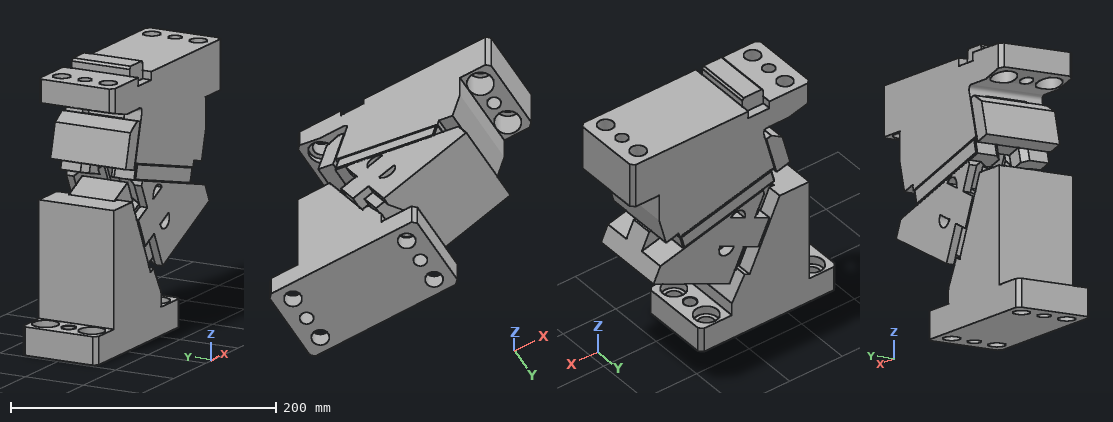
import cadquery as cq
import math

part_width = 65.0
half_width = part_width / 2
total_height = 217.5
corner_chamfer = 3.3

base_length = 130.0
flange_height = 22.5
column_left = 26.5
column_right = 100.3
column_top = 115.0
column_right_top = 33.7

incline_angle = math.radians(25)
incline_foot = (83.5, 53.5)
foot_ledge = 5.2
rail_half_width = 19.5
rail_bury = 6.5
rail_height = 19.0
rail_top_end = 69.8
wing_top_end = 51.5
wing_underside = 9.0
wing_half_width = 26.0
roof_start = 17.2
roof_angle = math.radians(31)
roof_flat_half_width = 5.2

cam_angle = math.radians(15)
cam_origin = (59.2, 131.0)
plate_length = 89.8
plate_height = 12.8
plate_edge_chamfer = 0.9
plate_mouth_chamfer = 5.0

shoe_clearance = 2.0
shoe_bottom = 23.7
shoe_top = 49.0
slide_bottom = -7.8
slide_depth = 97.2
tongue_half_width = 9.5
relief_depth = 3.3
guide_overrun = 65.2
tongue_start = 18.3
pocket_radius = 7.2
pocket_depth = 8.7
pocket_chord_offset = 0.9
pocket_level = 35.0
pocket_spacing = 24.8
upper_pocket_along = 48.3

holder_left = 25.0
holder_right = 195.0
holder_top = 209.9
nose_bottom = 191.2
nose_underside = 185.5
neck_offset = -2.6
neck_fillet = 3.3
step_offset = 90.3
step_height = 17.6
step_right = 102.7
shoulder_left = 169.5
shoulder_bottom = 169.9

hook_left = -17.0
hook_right = -3.5
hook_bottom = 7.6
hook_left_top = 35.7
hook_top = 44.8
hook_flat_start = -8.3
hook_key_width = 35.7
hook_key_depth = 9.8
hook_key_bottom = 17.5
hook_pocket_top = 49.0

key_left = 64.5
key_length = 20.0
key_width = 50.0
key_seat = 203.4
key_chamfer_width = 1.3
key_chamfer_drop = 2.2

bolt_radius = 6.7
bolt_offset = 20.0
bolt_rows = (-bolt_offset, bolt_offset)
counterbore_radius = 10.2
bolt_grip = 15.0
dowel_radius = 5.2
dowel_mouth_chamfer = 0.5
base_hole_inset = 15.0
holder_hole_inset = 15.2


def incline_point(level, along):
    """XZ point at a height above the inclined face and a distance up the slope from its foot."""
    x = incline_foot[0] + level * math.cos(incline_angle) - along * math.sin(incline_angle)
    z = incline_foot[1] + level * math.sin(incline_angle) + along * math.cos(incline_angle)
    return (x, z)


def cam_point(along, height):
    """XZ point at a distance down the cam plane and a height above it."""
    x = cam_origin[0] + along * math.cos(cam_angle) + height * math.sin(cam_angle)
    z = cam_origin[1] - along * math.sin(cam_angle) + height * math.cos(cam_angle)
    return (x, z)


def centred_slab(points, width):
    """XZ outline extruded evenly to both sides of the part's middle plane."""
    return cq.Workplane("XZ").polyline(points).close().extrude(width / 2, both=True)


def incline_prism(section, start, end):
    """Section of (Y, level) points swept up the inclined face between two distances."""
    x, z = incline_point(0, start)
    up_slope = (-math.sin(incline_angle), 0, math.cos(incline_angle))
    plane = cq.Plane(origin=(x, 0, z), xDir=(0, 1, 0), normal=up_slope)
    outline = [(y, -level) for y, level in section]
    return cq.Workplane(plane).polyline(outline).close().extrude(end - start)


def box_section(half_span, bottom, top):
    """Rectangular (Y, level) section centred on the part."""
    return [(-half_span, bottom), (half_span, bottom), (half_span, top), (-half_span, top)]


def drill(x, y_positions, radius, bottom, top):
    points = [(x, y) for y in y_positions]
    return cq.Workplane("XY", origin=(0, 0, bottom)).pushPoints(points).circle(radius).extrude(top - bottom)


roof_height = roof_start + (wing_half_width - roof_flat_half_width) * math.tan(roof_angle)


def guide_section(root_level):
    """T-shaped guide with a flat-topped roof, as (Y, level) points."""
    right_side = [
        (rail_half_width, root_level),
        (rail_half_width, wing_underside),
        (wing_half_width, wing_underside),
        (wing_half_width, roof_start),
        (roof_flat_half_width, roof_height),
    ]
    left_side = [(-y, level) for y, level in reversed(right_side)]
    return right_side + left_side


def dowel_mouth(x):
    """Small chamfer at the upper mouth of a base dowel hole."""
    bottom = cq.Vector(x, 0, flange_height - dowel_mouth_chamfer)
    mouth_radius = dowel_radius + dowel_mouth_chamfer
    return cq.Workplane(obj=cq.Solid.makeCone(dowel_radius, mouth_radius, dowel_mouth_chamfer, bottom))


def make_base():
    flange = cq.Workplane("XY").box(base_length, part_width, flange_height, centered=(False, True, False))
    flange = flange.edges("|Z").chamfer(corner_chamfer)

    slope_length = (column_top - incline_foot[1]) / math.cos(incline_angle)
    column = centred_slab([
        (column_left, 0),
        (column_left, column_top),
        incline_point(0, slope_length),
        incline_foot,
        incline_point(foot_ledge, 0),
        (column_right, column_right_top),
        (column_right, 0),
    ], part_width)

    rail_section = box_section(rail_half_width, -rail_bury, rail_height)
    lead_in = incline_prism(rail_section, wing_top_end, rail_top_end)
    guide = incline_prism(guide_section(-rail_bury), 0, wing_top_end)
    body = flange.union(column).union(guide).union(lead_in)

    for x in (base_hole_inset, base_length - base_hole_inset):
        body = body.cut(drill(x, bolt_rows, bolt_radius, 0, flange_height))
        body = body.cut(drill(x, bolt_rows, counterbore_radius, bolt_grip, flange_height))
        body = body.cut(drill(x, (0,), dowel_radius, 0, flange_height))
        body = body.cut(dowel_mouth(x))
    return body


def cam_along_at_back(height):
    """Distance down the cam plane at which the slide's inclined back face is reached."""
    dx = cam_origin[0] - incline_foot[0]
    dz = cam_origin[1] - incline_foot[1]
    origin_level = dx * math.cos(incline_angle) + dz * math.sin(incline_angle)
    height_gain = height * math.sin(incline_angle + cam_angle)
    return (slide_depth - origin_level - height_gain) / math.cos(incline_angle + cam_angle)


def slide_pocket(along, side):
    """Half-round blind pocket in the slide's flank; side is +1 above the chord, -1 below it."""
    x, z = incline_point(pocket_level, along)
    out_of_slope = (math.cos(incline_angle), 0, math.sin(incline_angle))
    plane = cq.Plane(origin=(x, -half_width, z), xDir=out_of_slope, normal=(0, -1, 0))
    half_chord = math.sqrt(pocket_radius**2 - pocket_chord_offset**2)
    sketch = cq.Workplane(plane).moveTo(-half_chord, pocket_chord_offset)
    sketch = sketch.threePointArc((0, side * pocket_radius), (half_chord, pocket_chord_offset)).close()
    return sketch.extrude(-pocket_depth)


def make_slide():
    front_x, front_z = incline_point(roof_start, rail_top_end)
    dx = front_x - cam_origin[0]
    dz = front_z - cam_origin[1]
    front_along = dx * math.cos(cam_angle) - dz * math.sin(cam_angle)
    body = centred_slab([
        incline_point(shoe_clearance, shoe_bottom),
        incline_point(shoe_clearance, shoe_top),
        incline_point(roof_start, shoe_top),
        (front_x, front_z),
        cam_point(front_along, 0),
        cam_point(cam_along_at_back(0), 0),
        incline_point(slide_depth, slide_bottom),
        incline_point(roof_start, slide_bottom),
        incline_point(roof_start, shoe_bottom),
    ], part_width)

    tongue = centred_slab([
        cam_point(tongue_start, 0),
        cam_point(tongue_start, plate_height),
        cam_point(cam_along_at_back(plate_height), plate_height),
        cam_point(cam_along_at_back(0), 0),
    ], 2 * tongue_half_width)
    body = body.union(tongue)

    cut_start = slide_bottom - guide_overrun
    cut_end = rail_top_end + guide_overrun
    body = body.cut(incline_prism(guide_section(0), cut_start, cut_end))
    relief_section = box_section(roof_flat_half_width, 0, roof_height + relief_depth)
    body = body.cut(incline_prism(relief_section, cut_start, cut_end))
    for along, side in ((upper_pocket_along, 1), (upper_pocket_along - pocket_spacing, -1)):
        pocket = slide_pocket(along, side)
        body = body.cut(pocket).cut(pocket.mirror("XZ"))
    return body


def holder_block():
    neck_x, neck_z = cam_point(neck_offset, 0)
    neck_top_x = neck_x + (nose_underside - neck_z) * math.tan(cam_angle)
    nose_x = holder_left + (nose_bottom - nose_underside) / math.tan(cam_angle)
    step_x, step_z = cam_point(step_right, step_height)
    shoulder_z = step_z + (shoulder_left - step_x) / math.tan(cam_angle)
    block = centred_slab([
        (holder_left, holder_top),
        (holder_left, nose_bottom),
        (nose_x, nose_underside),
        (neck_top_x, nose_underside),
        cam_point(neck_offset, plate_height),
        cam_point(step_offset, plate_height),
        cam_point(step_offset, step_height),
        (step_x, step_z),
        (shoulder_left, shoulder_z),
        (shoulder_left, shoulder_bottom),
        (holder_right, shoulder_bottom),
        (holder_right, holder_top),
    ], part_width)
    block = block.edges("|Z").edges("<X or >X").chamfer(corner_chamfer)
    return block.edges(cq.NearestToPointSelector((neck_top_x, 0, nose_underside))).fillet(neck_fillet)


def wear_plate():
    """Plate on the -Y side; its inner front corner is bevelled to lead the tongue in."""
    width = half_width - tongue_half_width
    x, z = cam_origin
    down_cam = (math.cos(cam_angle), 0, -math.sin(cam_angle))
    cam_normal = (math.sin(cam_angle), 0, math.cos(cam_angle))
    plane = cq.Plane(origin=(x, -half_width, z), xDir=down_cam, normal=cam_normal)
    outline = [
        (0, 0),
        (plate_length, 0),
        (plate_length, width),
        (plate_mouth_chamfer, width),
        (0, width - plate_mouth_chamfer),
    ]
    plate = cq.Workplane(plane).polyline(outline).close().extrude(plate_height)
    return plate.faces("<Y").edges().chamfer(plate_edge_chamfer)


def hook():
    body = centred_slab([
        cam_point(hook_left, hook_bottom),
        cam_point(hook_left, hook_left_top),
        cam_point(hook_flat_start, hook_top),
        cam_point(hook_right, hook_top),
        cam_point(hook_right, hook_bottom),
    ], part_width)
    return body.union(hook_key(hook_top))


def hook_key(top):
    """Block that runs from the hook into the neck, up to the given height above the cam plane."""
    end = neck_offset + hook_key_depth
    return centred_slab([
        cam_point(hook_right, hook_key_bottom),
        cam_point(hook_right, top),
        cam_point(end, top),
        cam_point(end, hook_key_bottom),
    ], hook_key_width)


def key_slot():
    slot_plane = cq.Workplane("XY", origin=(key_left, 0, key_seat))
    return slot_plane.box(key_length, part_width, holder_top - key_seat, centered=(False, True, False))


def cross_key():
    key_right = key_left + key_length
    return centred_slab([
        (key_left, key_seat),
        (key_left, total_height - key_chamfer_drop),
        (key_left + key_chamfer_width, total_height),
        (key_right - key_chamfer_width, total_height),
        (key_right, total_height - key_chamfer_drop),
        (key_right, key_seat),
    ], key_width)


def make_holder():
    body = holder_block()
    body = body.cut(hook_key(hook_pocket_top)).union(hook())
    plate = wear_plate()
    body = body.union(plate).union(plate.mirror("XZ"))
    body = body.cut(key_slot()).union(cross_key())

    for x in (holder_left + holder_hole_inset, holder_right - holder_hole_inset):
        body = body.cut(drill(x, bolt_rows, bolt_radius, shoulder_bottom, holder_top))
        seat = holder_top - bolt_grip
        body = body.cut(drill(x, bolt_rows, counterbore_radius, shoulder_bottom, seat))
        body = body.cut(drill(x, (0,), dowel_radius, shoulder_bottom, holder_top))
    return body


def solid_of(body):
    return body.solids().val()


base = make_base()
slide = make_slide()
holder = make_holder()
result = cq.Compound.makeCompound([solid_of(base), solid_of(slide), solid_of(holder)])